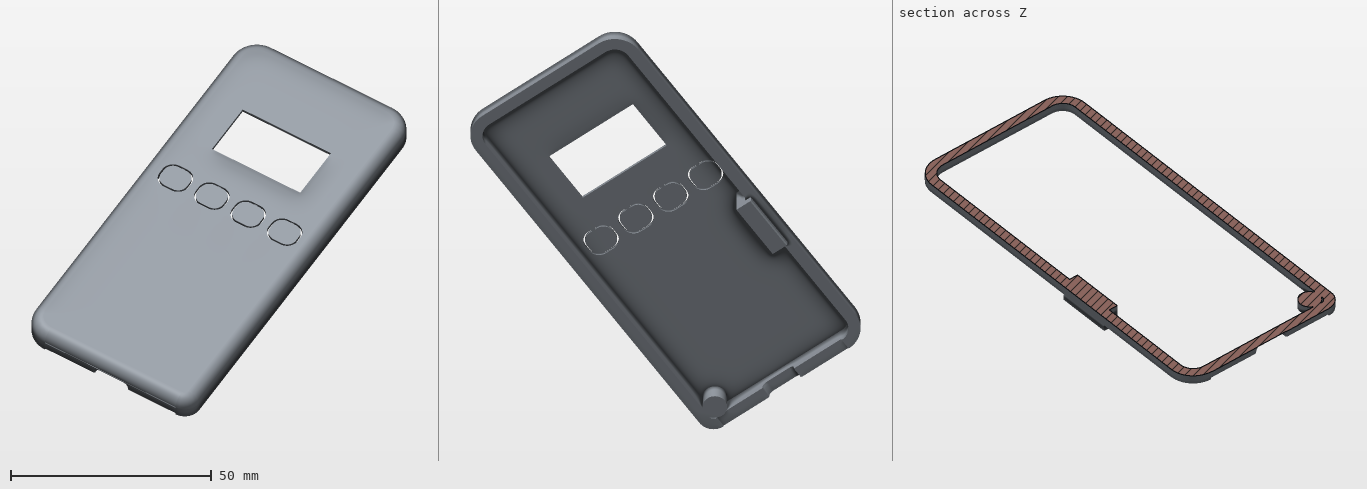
import cadquery as cq

width = 49.7
length = 107.4
height = 5.9
corner_radius = 7.1
small_corner_radius = 4.3
edge_radius = 3.0
wall = edge_radius
plate = 0.9

lip_proud = 0.1
rim_relief = 0.6
notch_width = 10.3
notch_height = 2.8
notch_x = 1.7
notch_radius = 1.4
notch_step = 0.3

window_width = 25.9
window_length = 14.5
window_x = -0.1
window_y = 25.0

button_count = 4
button_span = 32.0
button_y = 5.3
slot_width = 8.5
slot_length = 7.5
slot_corner_diameter = 6.1
button_gap = 0.4
hinge_width = 0.9
hinge_thickness = 0.4

hook_width = 15.6
hook_y = -11.2
hook_drop = 3.5
hook_leg = 2.6
hook_reach = 1.9
hook_thickness = 1.9
hook_tip_radius = 0.5
hook_tip_chamfer = 0.3

post_diameter = 6.1
post_inset = 5.8

half_width = width / 2
front_y = -length / 2
body_front_y = front_y + lip_proud
body_length = length - lip_proud
lip_left = -half_width + corner_radius
lip_right = half_width - small_corner_radius
ceiling = height - plate


def rounded_block(margin, block_height):
    """Block following the case outline, moved inwards by the margin."""
    block = (
        cq.Workplane("XY").center(0, lip_proud / 2)
        .rect(width - 2 * margin, body_length - 2 * margin).extrude(block_height)
    )
    block = block.edges("|Z").edges("<X or >Y").fillet(corner_radius - margin)
    return block.edges("|Z").edges(">(1, -1, 0)").fillet(small_corner_radius - margin)


def make_shell():
    body = rounded_block(0, height).faces(">Z").edges().fillet(edge_radius)
    return body.cut(rounded_block(wall, ceiling))


def front_block(left, right, depth, block_height):
    """Block on the rim plane between two X positions, reaching back from the foremost face."""
    block = cq.Workplane("XY").box(right - left, depth, block_height, centered=False)
    return block.translate((left, front_y, 0))


def notch(step, depth):
    half_notch = notch_width / 2 - step
    cut = front_block(notch_x - half_notch, notch_x + half_notch, depth, notch_height - step)
    return cut.edges("|Y and >Z").fillet(notch_radius)


def add_front_lip(shell):
    """Add the lip between the two -Y corners, then lower its rim and notch it."""
    through = lip_proud + wall
    shell = shell.union(front_block(lip_left, lip_right, through, height - edge_radius))
    shell = shell.cut(front_block(lip_left, lip_right, through, rim_relief))
    return shell.cut(notch(0, lip_proud)).cut(notch(notch_step, through))


def window():
    return (
        cq.Workplane("XY").center(window_x, window_y)
        .rect(window_width, window_length).extrude(height)
    )


def button_pad(margin):
    pad = cq.Workplane("XY").rect(slot_width - 2 * margin, slot_length - 2 * margin).extrude(height)
    return pad.edges("|Z").fillet(slot_corner_diameter / 2 - margin)


def button_slot():
    """Ring around one button, bridged by a thin hinge on its +Y side."""
    hinge = cq.Workplane("XY").box(hinge_width, slot_length, hinge_thickness, centered=(True, False, False))
    ring = button_pad(0).cut(button_pad(button_gap))
    return ring.cut(hinge.translate((0, 0, ceiling)))


def hook():
    outer_x = -half_width + wall
    tip_x = outer_x - hook_reach
    inner_x = outer_x + hook_leg
    tip_top = hook_thickness - hook_drop
    profile = [
        (inner_x, ceiling), (inner_x, -hook_drop), (tip_x, -hook_drop),
        (tip_x, tip_top), (outer_x, tip_top), (outer_x, ceiling),
    ]
    body = cq.Workplane("XZ").polyline(profile).close().extrude(hook_width / 2, both=True)
    body = body.faces("<X").edges("|Y and >Z").fillet(hook_tip_radius)
    body = body.faces("<X").edges("|Y and <Z").chamfer(hook_tip_chamfer)
    return body.translate((0, hook_y, 0))


def post():
    return (
        cq.Workplane("XY").center(half_width - post_inset, body_front_y + post_inset)
        .circle(post_diameter / 2).extrude(ceiling)
    )


button_pitch = button_span / (button_count - 1)
result = add_front_lip(make_shell()).cut(window())
for index in range(button_count):
    button_x = index * button_pitch - button_span / 2
    result = result.cut(button_slot().translate((button_x, button_y, 0)))
result = result.union(hook()).union(post())